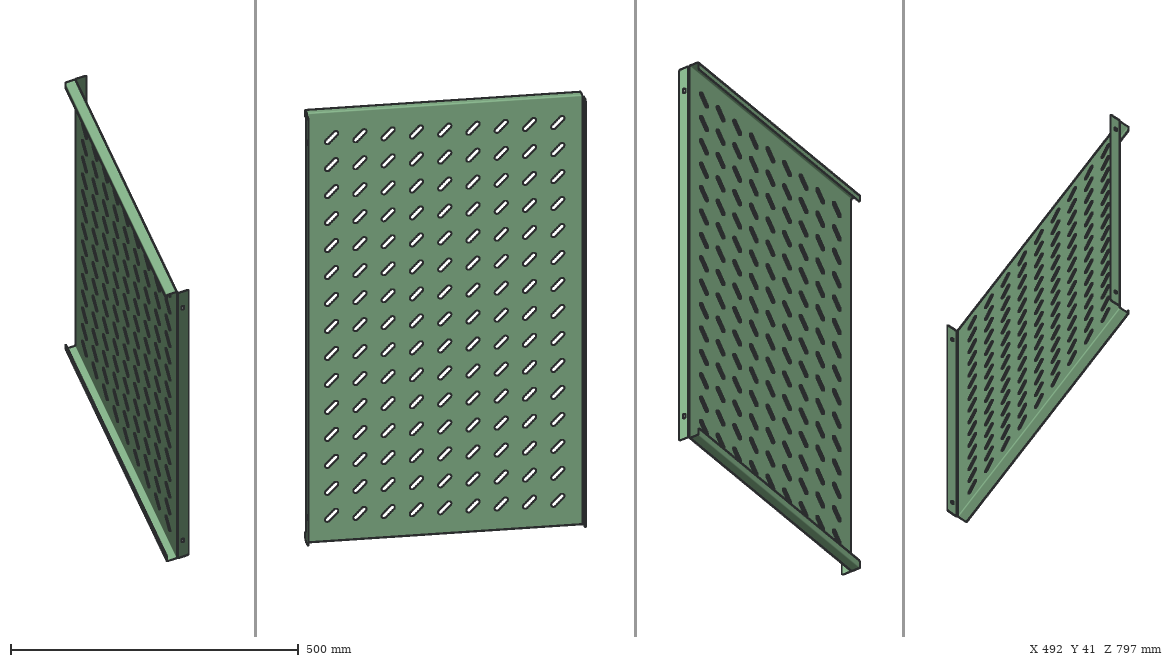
import cadquery as cq

width = 492.0
depth = 41.0
height = 797.0

sheet = 1.2
bend_radius = 2.0
inner_radius = bend_radius - sheet

rail_depth = 20.0
lip_height = 15.0
end_gap = 2.0
lip_chamfer = 2.0
side_corner_chamfer = 2.0

slot_columns = 9
slot_rows = 15
slot_field_width = 400.0
slot_pitch = slot_field_width / (slot_columns - 1)
slot_length = 29.5
slot_width = 9.0
slot_angle = -45

side_slot_length = 9.5
side_slot_width = 5.5
side_slot_height = 347.5
side_slot_inset = 11.0
upright = 90

front_y = -depth / 2
back_y = depth / 2
panel_back_y = front_y + rail_depth
panel_front_y = panel_back_y - sheet
rail_length = width - 2 * end_gap
side_length = height - 2 * end_gap


def make_panel():
    """Flat panel, stopping where the bends begin."""
    return cq.Workplane("XY").box(
        width - 2 * bend_radius, sheet, height - 2 * bend_radius
    ).translate((0, panel_front_y + sheet / 2, 0))


def make_top_rail():
    """Rail bent forward from the panel, with a lip bent down at its front."""
    top = height / 2
    bend_end = top - bend_radius
    profile = (
        cq.Workplane("YZ", origin=(-rail_length / 2, 0, 0))
        .moveTo(panel_back_y, bend_end)
        .radiusArc((panel_back_y - bend_radius, top), -bend_radius)
        .lineTo(front_y + bend_radius, top)
        .radiusArc((front_y, bend_end), -bend_radius)
        .lineTo(front_y, top - lip_height)
        .lineTo(front_y + sheet, top - lip_height)
        .lineTo(front_y + sheet, bend_end)
        .radiusArc((front_y + bend_radius, top - sheet), inner_radius)
        .lineTo(panel_back_y - bend_radius, top - sheet)
        .radiusArc((panel_front_y, bend_end), inner_radius)
        .close()
    )
    rail = profile.extrude(rail_length)
    lip_corners = rail.faces("<Z").edges("|Y")
    return lip_corners.chamfer(lip_chamfer)


def make_left_flange():
    """Flange bent backward from the left edge of the panel."""
    left = -width / 2
    profile = (
        cq.Workplane("XY", origin=(0, 0, -side_length / 2))
        .moveTo(left + bend_radius, panel_front_y)
        .radiusArc((left, panel_front_y + bend_radius), -bend_radius)
        .lineTo(left, back_y)
        .lineTo(left + sheet, back_y)
        .lineTo(left + sheet, panel_front_y + bend_radius)
        .radiusArc((left + bend_radius, panel_back_y), inner_radius)
        .close()
    )
    flange = profile.extrude(side_length)
    return flange.faces(">Y").edges("|X").chamfer(side_corner_chamfer)


def panel_slots():
    return (
        cq.Workplane("XZ", origin=(0, back_y, 0))
        .rarray(slot_pitch, slot_pitch, slot_columns, slot_rows)
        .slot2D(slot_length, slot_width, slot_angle)
        .extrude(depth)
    )


def side_slots():
    return (
        cq.Workplane("YZ", origin=(-width / 2, back_y - side_slot_inset, 0))
        .pushPoints([(0, -side_slot_height), (0, side_slot_height)])
        .slot2D(side_slot_length, side_slot_width, upright)
        .extrude(width)
    )


top_rail = make_top_rail()
left_flange = make_left_flange()
tray = (
    make_panel()
    .union(top_rail)
    .union(top_rail.mirror("XY"))
    .union(left_flange)
    .union(left_flange.mirror("YZ"))
)
result = tray.cut(panel_slots()).cut(side_slots())